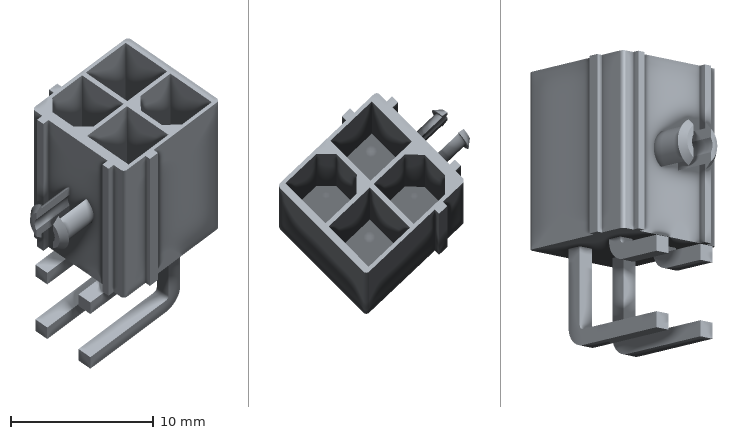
import cadquery as cq

body_width = 8.95
body_depth = 9.73
body_height = 12.8
corner_radius = 0.3

cavity_size = 4.03
cavity_spacing_x = 4.35
cavity_spacing_y = 4.41
back_wall = 0.52
cavity_depth = 9.98
key_chamfer = 1
back_cavity_y = body_depth - back_wall - cavity_size / 2
front_cavity_y = back_cavity_y - cavity_spacing_y

overall_width = 9.8
side_rib_width = 0.82
side_rib_y = 2.6
front_rib_width = 0.6
front_rib_height = 0.52
front_rib_x = 3.18

pin_size = 1.15
pin_spacing = 4.2
pin_inner_radius = 0.32
pin_outer_radius = pin_inner_radius + pin_size
pin_tip_y = -1.54
long_pin_drop = 19.97 - body_height
short_pin_drop = 1.65
back_pin_y = 6.99
front_pin_y = back_pin_y - pin_spacing
pin_embed = 1

overall_depth = 13.1
peg_length = overall_depth - body_depth
peg_z = 6.21
shank_radius = 1.52
head_radius = 1.85
head_tip_radius = 1.44
head_length = 0.52
slot_width = 1.64
bore_radius = 0.98


def box(width, depth, height, x, y, z):
    """Box centred on x and y, with its bottom at z."""
    return cq.Workplane("XY").box(width, depth, height, centered=(True, True, False)).translate((x, y, z))


def make_cavity(x, y, keyed):
    cavity = box(cavity_size, cavity_size, cavity_depth, x, y, body_height - cavity_depth)
    if keyed:
        cavity = cavity.faces("<Y").edges("|Z").chamfer(key_chamfer)
    return cavity


def make_housing():
    housing = box(body_width, body_depth, body_height, 0, body_depth / 2, 0)
    housing = housing.edges("|Z").fillet(corner_radius)
    housing = housing.union(box(overall_width, side_rib_width, body_height, 0, side_rib_y, 0))
    for side in (-1, 1):
        rib = box(front_rib_width, 2 * front_rib_height, body_height, side * front_rib_x, 0, 0)
        housing = housing.union(rib)
    for side in (-1, 1):
        x = side * cavity_spacing_x / 2
        housing = housing.cut(make_cavity(x, front_cavity_y, keyed=side < 0))
        housing = housing.cut(make_cavity(x, back_cavity_y, keyed=side > 0))
    return housing


def make_pin(x, y, drop):
    """Square pin leaving the housing floor and bending towards the front."""
    back = y + pin_size / 2
    front = y - pin_size / 2
    profile = (
        cq.Workplane("YZ")
        .moveTo(back, pin_embed)
        .lineTo(back, pin_outer_radius - drop)
        .radiusArc((back - pin_outer_radius, -drop), pin_outer_radius)
        .lineTo(pin_tip_y, -drop)
        .lineTo(pin_tip_y, pin_size - drop)
        .lineTo(front - pin_inner_radius, pin_size - drop)
        .radiusArc((front, pin_outer_radius - drop), -pin_inner_radius)
        .lineTo(front, pin_embed)
        .close()
    )
    return profile.extrude(pin_size / 2, both=True).translate((x, 0, 0))


def make_peg():
    """Barbed round peg, split by a slot with a wider bore along its axis."""
    head_y = head_length - peg_length
    peg = (
        cq.Workplane("XY")
        .polyline([
            (0, 0),
            (shank_radius, 0),
            (shank_radius, head_y),
            (head_radius, head_y),
            (head_tip_radius, -peg_length),
            (0, -peg_length),
        ])
        .close()
        .revolve(360, (0, 0, 0), (0, 1, 0))
    )
    slot = cq.Workplane("XZ").rect(slot_width, 2 * head_radius).extrude(peg_length)
    bore = cq.Workplane("XZ").circle(bore_radius).extrude(peg_length)
    return peg.cut(slot).cut(bore).translate((0, 0, peg_z))


result = make_housing().union(make_peg())
for side in (-1, 1):
    pin_x = side * pin_spacing / 2
    result = result.union(make_pin(pin_x, back_pin_y, long_pin_drop))
    result = result.union(make_pin(pin_x, front_pin_y, short_pin_drop))